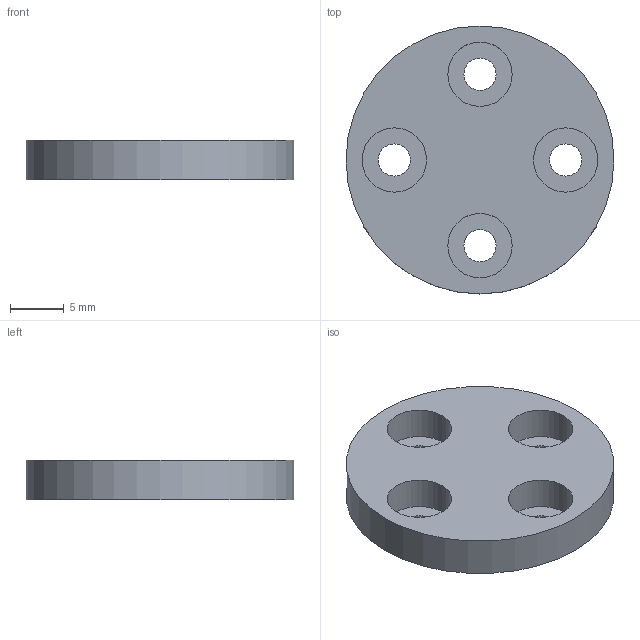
import cadquery as cq

plate_diameter = 25.0
plate_thickness = 3.7

hole_count = 4
bolt_circle_radius = 8.0
hole_diameter = 3.0
counterbore_diameter = 2 * hole_diameter
counterbore_depth = 3.0


def make_plate():
    """Plain disc standing on the XY plane, centred on the Z axis."""
    return cq.Workplane("XY").circle(plate_diameter / 2).extrude(plate_thickness)


def add_screw_holes(plate):
    """Cut the through holes, counterbored from the top face."""
    return (
        plate.faces(">Z")
        .workplane()
        .polarArray(bolt_circle_radius, 0, 360, hole_count)
        .cboreHole(hole_diameter, counterbore_diameter, counterbore_depth)
    )


result = add_screw_holes(make_plate())